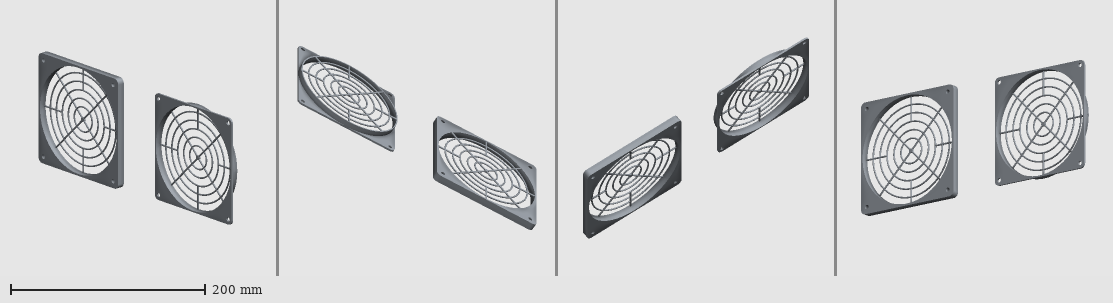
import cadquery as cq
import math

cover_side = 120.0
cover_depth = 8.0
cover_bore_diameter = 116.0

frame_side = 116.0
frame_depth = 8.0
flange_thickness = 2.0
collar_outer_diameter = cover_bore_diameter
collar_inner_diameter = 113.0

corner_radius = 5.5
screw_hole_diameter = 4.5
screw_hole_pitch = 105.0
spoke_diameter = 1.85
ring_wire_diameter = 1.7
hub_diameter = 4.5
hub_thickness = 2.15
ring_count = 5
ring_span = 36.0
ring_step = ring_span / (ring_count - 1)
ring_seam_angle = 22.5
diagonal_start = 1.7
short_spoke_ring = 2
cover_first_ring_radius = 13.5
frame_first_ring_radius = 12.5

total_depth = 13.0
center_distance = 168.0
total_length = 286.2
cover_center_x = cover_side / 2
frame_center_x = cover_center_x + center_distance
frame_front_y = total_depth - frame_depth

long_spoke_reach = total_length - frame_center_x


def disc(diameter, thickness, front_y):
    """Round disc along Y, centred on the Y axis, from front_y backwards."""
    return (
        cq.Workplane("XZ", origin=(0, front_y, 0))
        .circle(diameter / 2)
        .extrude(-thickness)
    )


def drilled_plate(side, thickness):
    """Square plate with rounded corners and four screw holes, front face on Y = 0."""
    return (
        cq.Workplane("XZ")
        .rect(side, side)
        .extrude(-thickness)
        .edges("|Y")
        .fillet(corner_radius)
        .faces("<Y")
        .workplane(centerOption="CenterOfBoundBox")
        .rect(screw_hole_pitch, screw_hole_pitch, forConstruction=True)
        .vertices()
        .hole(screw_hole_diameter)
    )


def wire_ring(radius, wire_y):
    """Round wire bent into a circle about the Y axis, its seam turned clear of the spokes."""
    return (
        cq.Workplane("XY")
        .center(radius, wire_y)
        .circle(ring_wire_diameter / 2)
        .revolve(360, (-radius, 0, 0), (-radius, 1, 0))
        .rotate((0, 0, 0), (0, 1, 0), ring_seam_angle)
    )


def spoke(angle, inner_reach, outer_reach, wire_y):
    """Straight round wire running outwards at an angle in degrees from +X towards +Z."""
    direction = cq.Vector(math.cos(math.radians(angle)), 0, math.sin(math.radians(angle)))
    start = direction * inner_reach + cq.Vector(0, wire_y, 0)
    return cq.Workplane(
        cq.Solid.makeCylinder(spoke_diameter / 2, outer_reach - inner_reach, start, direction)
    )


def add_grille(body, first_ring_radius, spoke_reach, right_spoke_reach, back_y):
    """Join hub, rings and spokes to a body, with the hub flush with its back face."""
    wire_y = back_y - hub_thickness / 2
    body = body.union(disc(hub_diameter, hub_thickness, back_y - hub_thickness))
    for diagonal_angle in (45, 135, 225, 315):
        body = body.union(spoke(diagonal_angle, diagonal_start, spoke_reach, wire_y))
    short_spoke_start = first_ring_radius + short_spoke_ring * ring_step
    body = body.union(spoke(0, short_spoke_start, right_spoke_reach, wire_y))
    for straight_angle in (90, 180, 270):
        body = body.union(spoke(straight_angle, short_spoke_start, spoke_reach, wire_y))
    for ring_number in range(ring_count):
        body = body.union(wire_ring(first_ring_radius + ring_number * ring_step, wire_y))
    return body


def make_cover():
    """Thick square plate with a through bore spanned by a wire grille."""
    plate = drilled_plate(cover_side, cover_depth)
    bored_plate = plate.cut(disc(cover_bore_diameter, cover_depth, 0))
    spoke_reach = (cover_bore_diameter + spoke_diameter) / 2
    cover = add_grille(bored_plate, cover_first_ring_radius, spoke_reach, spoke_reach, cover_depth)
    return cover.translate((cover_center_x, 0, 0))


def make_frame():
    """Thin square flange with a collar behind it and a wire grille inside."""
    flange = drilled_plate(frame_side, flange_thickness)
    collar = disc(collar_outer_diameter, frame_depth - flange_thickness, flange_thickness)
    opening = disc(collar_inner_diameter, frame_depth, 0)
    shell = flange.union(collar).cut(opening)
    spoke_reach = (collar_inner_diameter + collar_outer_diameter) / 4
    frame = add_grille(shell, frame_first_ring_radius, spoke_reach, long_spoke_reach, frame_depth)
    return frame.translate((frame_center_x, frame_front_y, 0))


cover = make_cover()
frame = make_frame()

result = cq.Compound.makeCompound([cover.solids().val(), frame.solids().val()])